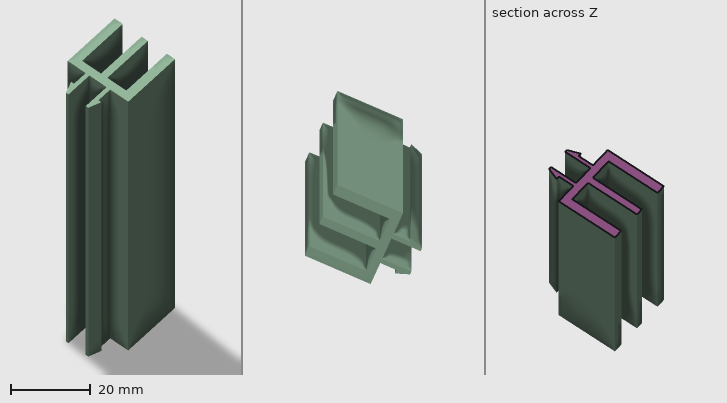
import cadquery as cq

length = 100.0
width = 20.0
total_depth = 26.0

body_depth = 18.0
floor_thickness = 2.4
side_wall = 2.7
center_wall = 2.1

leg_gap = 5.7
leg_thickness = 1.2
barb_span = 10.0
barb_length = 3.5
tip_span = 7.4

back_y = total_depth / 2
body_front_y = back_y - body_depth
floor_y = body_front_y + floor_thickness
tip_y = -total_depth / 2
barb_y = tip_y + barb_length


def plate(x_start, x_end, y_start, y_end):
    """Full-length rectangular bar between the given X and Y limits."""
    return (
        cq.Workplane("XY")
        .box(x_end - x_start, y_end - y_start, length, centered=False)
        .translate((x_start, y_start, -length / 2))
    )


def channel_body():
    """Solid block with two open slots separated by the center wall."""
    body = plate(-width / 2, width / 2, body_front_y, back_y)
    slot_inner = center_wall / 2
    slot_outer = width / 2 - side_wall
    body = body.cut(plate(slot_inner, slot_outer, floor_y, back_y))
    return body.cut(plate(-slot_outer, -slot_inner, floor_y, back_y))


def snap_leg(side):
    """Barbed leg on one side of center: side is +1 or -1 along X."""
    inner_x = side * leg_gap / 2
    outer_x = inner_x + side * leg_thickness
    barb_x = side * barb_span / 2
    tip_x = side * tip_span / 2
    outline = [
        (inner_x, floor_y),
        (outer_x, floor_y),
        (outer_x, barb_y),
        (barb_x, barb_y),
        (tip_x, tip_y),
        (inner_x, tip_y),
    ]
    return (
        cq.Workplane("XY")
        .workplane(offset=-length / 2)
        .polyline(outline)
        .close()
        .extrude(length)
    )


result = channel_body()
for side in (-1, 1):
    result = result.union(snap_leg(side))